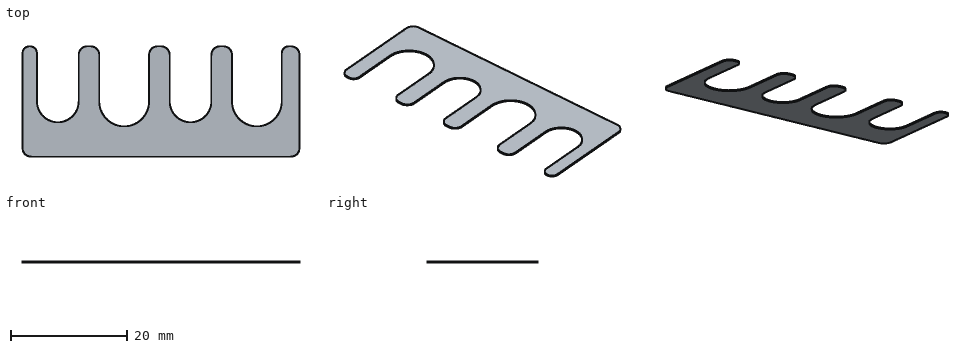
import cadquery as cq

length = 47.75
depth = 19.05
thickness = 0.25

slot_pitch = 11.43
first_slot_x = 6.1
slot_center_y = depth / 2
narrow_slot_width = 7.14
wide_slot_width = 8.54
slot_widths = [narrow_slot_width, wide_slot_width, narrow_slot_width, wide_slot_width]
slots = [(first_slot_x + i * slot_pitch, width) for i, width in enumerate(slot_widths)]

corner_radius = 1.52
small_tip_radius = 1.25

first_slot_left = first_slot_x - narrow_slot_width / 2
first_slot_right = first_slot_x + narrow_slot_width / 2
last_slot_x = first_slot_x + (len(slots) - 1) * slot_pitch
last_slot_left = last_slot_x - wide_slot_width / 2
last_slot_right = last_slot_x + wide_slot_width / 2

selection_margin = 0.1


def slot_cutter(center_x, width):
    """Solid of one slot: a round bottom and straight sides running out of the +Y edge."""
    radius = width / 2
    return (
        cq.Workplane("XY")
        .moveTo(center_x - radius, depth)
        .lineTo(center_x - radius, slot_center_y)
        .threePointArc((center_x, slot_center_y - radius), (center_x + radius, slot_center_y))
        .lineTo(center_x + radius, depth)
        .close()
        .extrude(thickness)
    )


def round_corners(body, x_min, x_max, y, radius):
    """Round the upright edges that lie at y, from x_min to x_max."""
    box = cq.selectors.BoxSelector(
        (x_min - selection_margin, y - selection_margin, -selection_margin),
        (x_max + selection_margin, y + selection_margin, thickness + selection_margin),
    )
    return body.edges("|Z").edges(box).fillet(radius)


plate = cq.Workplane("XY").box(length, depth, thickness, centered=False)
for slot_x, slot_width in slots:
    plate = plate.cut(slot_cutter(slot_x, slot_width))

plate = round_corners(plate, 0, length, 0, corner_radius)

plate = round_corners(plate, 0, first_slot_left, depth, small_tip_radius)

plate = round_corners(plate, first_slot_right, last_slot_left, depth, corner_radius)

plate = round_corners(plate, last_slot_right, last_slot_right, depth, small_tip_radius)
plate = round_corners(plate, length, length, depth, corner_radius)

result = plate